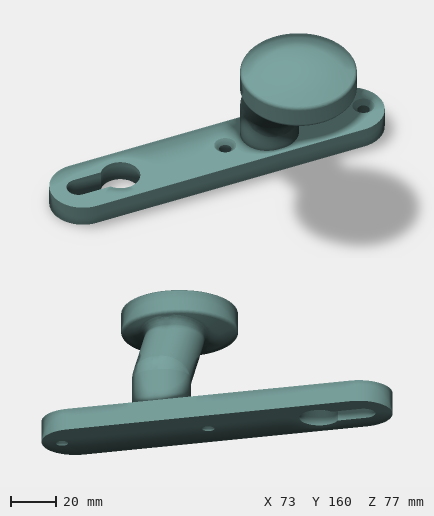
import cadquery as cq
import math

plate_length = 160.0
plate_width = 30.0
plate_thickness = 10.0

screw_hole_diameter = 5.5
countersink_diameter = 9.8
countersink_angle = 90.0
screw_end_margin = 9.0
screw_spacing = 67.0
top_screw_y = plate_length / 2 - screw_end_margin
screw_positions = [(0, top_screw_y), (0, top_screw_y - screw_spacing)]

keyhole_diameter = 17.8
keyhole_y = -46.9
keyhole_slot_width = 10.5
keyhole_end_y = -72.5

neck_y = 25.5
neck_width = 24.0
neck_flat = 2.4
bend_z = 26.0
bend_radius = neck_width / 2

overall_height = 77.0
knob_diameter = 52.0
knob_height = 22.0
knob_rim_height = 10.2
knob_edge_radius = 1.6
knob_x = 32.0
knob_z = overall_height - knob_height / 2
neck_knob_radius = 2.5

lean_angle = math.atan2(knob_x, knob_z - bend_z)


def make_plate():
    plate = cq.Workplane("XY").slot2D(plate_length, plate_width, 90).extrude(plate_thickness)
    plate = (
        plate.faces(">Z").workplane(origin=(0, 0, 0))
        .pushPoints(screw_positions)
        .cskHole(screw_hole_diameter, countersink_diameter, countersink_angle)
    )
    return plate.cut(make_keyhole())


def make_keyhole():
    slot_length = keyhole_y - keyhole_end_y + keyhole_slot_width / 2
    slot_y = keyhole_end_y + slot_length / 2
    bore = cq.Workplane("XY").center(0, keyhole_y).circle(keyhole_diameter / 2).extrude(plate_thickness)
    slot = (
        cq.Workplane("XY").center(0, slot_y)
        .slot2D(slot_length, keyhole_slot_width, 90).extrude(plate_thickness)
    )
    return bore.union(slot)


def make_neck_half(side):
    """One half of the neck, on the +X side of the bend (side = 1) or the -X side (side = -1)."""
    arc_reach = bend_radius * math.sqrt(0.5)
    flat_end = neck_flat / 2
    section = (
        cq.Workplane("XY", origin=(0, neck_y, plate_thickness))
        .moveTo(0, -flat_end - bend_radius)
        .threePointArc((side * arc_reach, -flat_end - arc_reach), (side * bend_radius, -flat_end))
        .lineTo(side * bend_radius, flat_end)
        .threePointArc((side * arc_reach, flat_end + arc_reach), (0, flat_end + bend_radius))
        .close()
    )
    path = (
        cq.Workplane("XZ", origin=(0, neck_y, 0))
        .moveTo(0, plate_thickness)
        .lineTo(0, bend_z)
        .lineTo(knob_x, knob_z)
    )
    half = section.sweep(path, transition="right")
    mitre_point = (side * bend_radius, neck_y, bend_z - side * bend_radius * math.tan(lean_angle / 2))
    return half.edges(cq.NearestToPointSelector(mitre_point)).fillet(bend_radius)


def make_knob():
    radius = knob_diameter / 2
    half_height = knob_height / 2
    half_rim = knob_rim_height / 2
    dome_rise = half_height - half_rim
    dome_radius = (radius**2 + dome_rise**2) / (2 * dome_rise)
    mid_x = radius / 2
    mid_z = half_height - dome_radius + math.sqrt(dome_radius**2 - mid_x**2)
    return (
        cq.Workplane("XZ", origin=(knob_x, neck_y, knob_z))
        .moveTo(0, -half_height)
        .threePointArc((mid_x, -mid_z), (radius, -half_rim))
        .lineTo(radius, half_rim)
        .threePointArc((mid_x, mid_z), (0, half_height))
        .close()
        .revolve(360, (0, 0, 0), (0, 1, 0))
        .edges("%CIRCLE")
        .fillet(knob_edge_radius)
    )


def make_handle():
    neck = make_neck_half(1).union(make_neck_half(-1))
    handle = neck.union(make_knob())
    joint_z = knob_z - knob_rim_height / 2
    joint_x = (joint_z - bend_z) * math.tan(lean_angle) - bend_radius / math.cos(lean_angle)
    joint_edge = cq.NearestToPointSelector((joint_x, neck_y, joint_z))
    return handle.edges(joint_edge).fillet(neck_knob_radius)


plate = make_plate()
handle = make_handle()
result = cq.Compound.makeCompound([plate.val(), handle.val()])